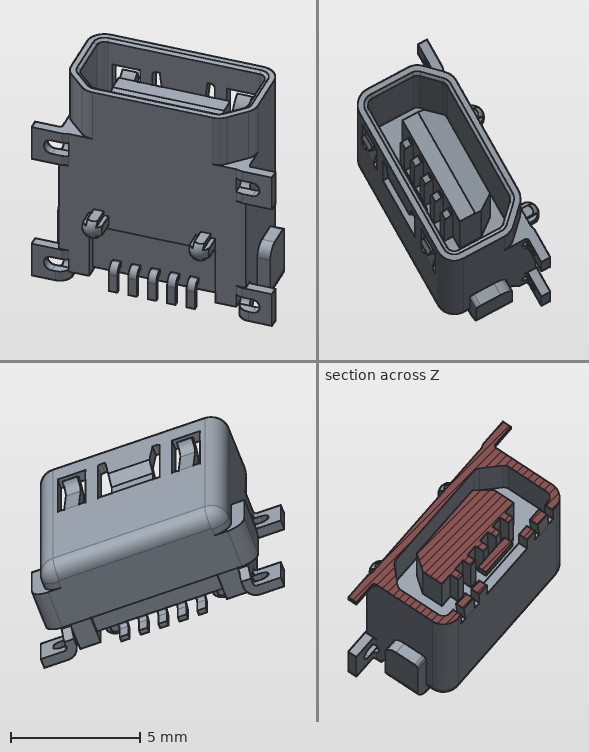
import cadquery as cq
import math

SHEET = 0.4
CLEARANCE = 1.0

SHELL_HALF_W = 3.85
SHELL_DEPTH = 3.9
SHELL_TOP = 9.2
SHELL_CORNER_R = 0.72
SHELL_BOTTOM_R = 0.68
MOUTH_BEVEL = 1.07
MOUTH_BASE = 7.0
LEAD_IN = 0.15
LEAD_IN_DEPTH = 0.09

FLOOR_Z = 4.0
TONGUE_HALF_W = 2.3
TONGUE_FRONT = 0.86
TONGUE_BACK = 2.48
TONGUE_TOP = 8.3
TONGUE_TIP_LENGTH = 0.94
TONGUE_TIP_DROP = 0.47
TONGUE_SIDE_BEVEL_W = 0.52
TONGUE_SIDE_BEVEL_D = 0.68

CONTACT_COUNT = 5
CONTACT_PITCH = 0.8
BLADE_W = 0.31
BLADE_BACK = 2.87
BLADE_TOP = 7.5
BLADE_LEDGE = 0.07
BLADE_SLOPE_DROP = 0.15
BLADE_NOSE_R = 0.05
LEAD_W = 0.35
LEAD_THICK = 0.2
LEAD_TOP = 1.21
LEAD_BOTTOM = 0.03
LEAD_BEND_R = 0.38

RECESS_HALF_W = 2.6
RECESS_TOP = 2.92
RECESS_DEPTH = 0.4
UNDERSIDE_DEPTH = 1.3
UNDERSIDE_CENTRE_Z = 0.68
UNDERSIDE_OUTER_Z = 0.5
SIDE_WALL_BOTTOM = 0.6
FOOT_BACK_LOW = 0.7
FOOT_BACK_HIGH = 1.01

TAB_HALF_SPAN = 4.95
TAB_FRONT = -0.06
TAB_H = 1.5
TAB_BASES = (0.0, MOUTH_BASE - TAB_H)
TAB_BEND_R = 0.12
TAB_SLOT_W = 0.62
TAB_SLOT_END = 4.44
TAB_SLOT_WALL_Y = 0.59
TAB_STEP_START = 3.46
TAB_STEP_END = 3.7

FLAP_HALF_W = 4.38
FLAP_BACK = 2.89
FLAP_TOP = 2.6
FLAP_FRONT_R = 0.52
FLAP_BACK_R = 0.18

PEG_X = 2.2
PEG_Z = 3.3
PEG_SPAN = 0.8
PEG_BAR = 0.42
PEG_TIP = -1.0
PEG_DOME_R = 0.47

LATCH_X = 2.36
LATCH_W = 0.61
LATCH_WINDOW_W = 1.15
LATCH_WINDOW_BASE = 5.0
LATCH_WINDOW_TOP = 8.1
LATCH_FACE = 3.31
LATCH_BEND_START = 6.72
LATCH_BEND_R = 1.005
LATCH_BEND_ANGLE = math.radians(68)
FINGER_ROOT_HALF_W = 0.98
FINGER_HALF_W = 0.85
FINGER_WINDOW_HALF_W = 1.28
FINGER_WINDOW_BASE = 5.0
FINGER_WINDOW_TOP = 8.17
FINGER_WINDOW_CORNER_R = 0.15
FINGER_BEND_Z = 7.0
FINGER_FACE = 3.12
FINGER_FACE_TOP = 6.5
FINGER_END = 5.4

INNER_HALF_W = SHELL_HALF_W - SHEET
INNER_BACK = SHELL_DEPTH - SHEET
TAB_BACK = TAB_FRONT + SHEET
TAB_BEND_X = SHELL_HALF_W + TAB_BEND_R
TAB_BEND_Y = TAB_BACK + TAB_BEND_R


def block(x0, x1, y0, y1, z0, z1):
    """Box between two opposite corners."""
    return cq.Workplane("XY").box(x1 - x0, y1 - y0, z1 - z0, centered=False).translate((x0, y0, z0))


def mirrored(shape):
    """The shape together with its mirror image across the YZ plane."""
    return shape.union(shape.mirror("YZ"))


def yz_prism(points, x_centre, width):
    """Straight-sided YZ outline extruded along X, centred on x_centre."""
    prism = cq.Workplane("YZ").polyline(points).close().extrude(width / 2, both=True)
    return prism.translate((x_centre, 0, 0))


def mouth_prism(z0, z1):
    """Upright prism on the mouth outline: bevelled front corners, all corners rounded."""
    half = SHELL_HALF_W
    return (
        cq.Workplane("XY", origin=(0, 0, z0))
        .polyline(
            [
                (-half + MOUTH_BEVEL, 0),
                (half - MOUTH_BEVEL, 0),
                (half, MOUTH_BEVEL),
                (half, SHELL_DEPTH),
                (-half, SHELL_DEPTH),
                (-half, MOUTH_BEVEL),
            ]
        )
        .close()
        .extrude(z1 - z0)
        .edges("|Z")
        .fillet(SHELL_CORNER_R)
    )


def inner_wire(inset, z):
    """Mouth outline moved inwards by inset, at height z."""
    outline = mouth_prism(z, z + CLEARANCE).faces("<Z").wires().val()
    return outline.offset2D(-inset)[0]


def make_shell():
    """Shell outside filled solid, then hollowed from the mouth down to the insulator floor."""
    lower = block(-SHELL_HALF_W, SHELL_HALF_W, 0, SHELL_DEPTH, 0, MOUTH_BASE)
    lower = lower.edges("|Z and >Y").fillet(SHELL_CORNER_R)
    lower = lower.faces("<Z").edges("not <Y").fillet(SHELL_BOTTOM_R)
    lower = lower.union(block(-SHELL_HALF_W, SHELL_HALF_W, 0, UNDERSIDE_DEPTH, 0, MOUTH_BASE))
    shell = lower.union(mouth_prism(MOUTH_BASE, SHELL_TOP))
    cavity_height = cq.Vector(0, 0, SHELL_TOP - FLOOR_Z)
    cavity = cq.Solid.extrudeLinear(inner_wire(SHEET, FLOOR_Z), [], cavity_height)
    shell = shell.cut(cq.Workplane(obj=cavity))
    throat = inner_wire(SHEET, SHELL_TOP - LEAD_IN_DEPTH)
    rim = inner_wire(SHEET - LEAD_IN, SHELL_TOP)
    return shell.cut(cq.Workplane(obj=cq.Solid.makeLoft([throat, rim], True)))


def make_flaps():
    """Plate under the shell whose two ends turn up as flaps against the side walls."""
    flap = block(-FLAP_HALF_W, FLAP_HALF_W, UNDERSIDE_DEPTH, FLAP_BACK, 0, FLAP_TOP)
    flap = flap.edges("|X and >Z and <Y").fillet(FLAP_FRONT_R)
    flap = flap.edges("|X and >Z and >Y").fillet(FLAP_BACK_R)
    return flap.edges("|Y and <Z").fillet(SHELL_BOTTOM_R)


def underside_cut():
    """Open space in front of the bottom plate, stepped in three heights."""

    def strip(x0, x1, top):
        return block(x0, x1, -CLEARANCE, UNDERSIDE_DEPTH, -CLEARANCE, top)

    outer = strip(-INNER_HALF_W, INNER_HALF_W, UNDERSIDE_OUTER_Z)
    centre = strip(-RECESS_HALF_W, RECESS_HALF_W, UNDERSIDE_CENTRE_Z)
    side = strip(INNER_HALF_W, SHELL_HALF_W + CLEARANCE, SIDE_WALL_BOTTOM)
    return outer.union(centre).union(mirrored(side))


def make_tab(base):
    """Side wall strip bent outwards into a slotted solder tab, on the +X side."""
    cos45 = math.cos(math.pi / 4)
    inner_r = TAB_BEND_R + SHEET
    return (
        cq.Workplane("XY", origin=(0, 0, base))
        .moveTo(INNER_HALF_W, TAB_BEND_Y)
        .threePointArc(
            (TAB_BEND_X - inner_r * cos45, TAB_BEND_Y - inner_r * cos45),
            (TAB_BEND_X, TAB_FRONT),
        )
        .lineTo(TAB_HALF_SPAN, TAB_FRONT)
        .lineTo(TAB_HALF_SPAN, TAB_BACK)
        .lineTo(TAB_BEND_X, TAB_BACK)
        .threePointArc(
            (TAB_BEND_X - TAB_BEND_R * cos45, TAB_BEND_Y - TAB_BEND_R * cos45),
            (SHELL_HALF_W, TAB_BEND_Y),
        )
        .lineTo(SHELL_HALF_W, FOOT_BACK_LOW)
        .lineTo(INNER_HALF_W, FOOT_BACK_LOW)
        .close()
        .extrude(TAB_H)
    )


def make_tab_step(base):
    """Filling of the tab's bend, sloping from the front face out to the tab, on the +X side."""
    bottom = base + (TAB_H - TAB_SLOT_W) / 2 if base < UNDERSIDE_OUTER_Z else base
    points = [
        (TAB_STEP_START, 0),
        (TAB_STEP_END, TAB_FRONT),
        (TAB_BEND_X, TAB_FRONT),
        (TAB_BEND_X, TAB_BACK),
        (TAB_STEP_START, TAB_BACK),
    ]
    step = cq.Workplane("XY", origin=(0, 0, bottom)).polyline(points).close()
    return step.extrude(base + TAB_H - bottom)


def make_foot():
    """Sloped strip joining the lower tab to the raised edge of the side wall."""
    points = [
        (SHEET, 0),
        (FOOT_BACK_LOW, 0),
        (FOOT_BACK_HIGH, SIDE_WALL_BOTTOM),
        (SHEET, SIDE_WALL_BOTTOM),
    ]
    return yz_prism(points, (SHELL_HALF_W + INNER_HALF_W) / 2, SHEET)


def tab_slot(base):
    """Round-ended slot running through the tab and around its bend into the side wall."""
    radius = TAB_SLOT_W / 2
    centre_z = base + TAB_H / 2
    end_x = TAB_SLOT_END - radius
    straight = block(INNER_HALF_W, end_x, -CLEARANCE, TAB_BACK, centre_z - radius, centre_z + radius)
    tab_end = cq.Workplane("XZ", origin=(end_x, TAB_BACK, centre_z)).circle(radius)
    tab_end = tab_end.extrude(TAB_BACK + CLEARANCE)
    wall_end_y = TAB_SLOT_WALL_Y - radius
    wall_end = cq.Workplane("YZ", origin=(INNER_HALF_W, wall_end_y, centre_z)).circle(radius)
    return straight.union(tab_end).union(wall_end.extrude(end_x - INNER_HALF_W))


def make_tongue():
    """Contact tongue with bevelled front corners and a sloping tip."""
    narrow = TONGUE_HALF_W - TONGUE_SIDE_BEVEL_W
    side_y = TONGUE_FRONT + TONGUE_SIDE_BEVEL_D
    tongue = (
        cq.Workplane("XY", origin=(0, 0, FLOOR_Z - SHEET))
        .polyline(
            [
                (-narrow, TONGUE_FRONT),
                (narrow, TONGUE_FRONT),
                (TONGUE_HALF_W, side_y),
                (TONGUE_HALF_W, TONGUE_BACK),
                (-TONGUE_HALF_W, TONGUE_BACK),
                (-TONGUE_HALF_W, side_y),
            ]
        )
        .close()
        .extrude(TONGUE_TOP - FLOOR_Z + SHEET)
    )
    tip = [
        (TONGUE_FRONT, TONGUE_TOP),
        (TONGUE_FRONT + TONGUE_TIP_LENGTH, TONGUE_TOP),
        (TONGUE_FRONT, TONGUE_TOP - TONGUE_TIP_DROP),
    ]
    return tongue.cut(yz_prism(tip, 0, 2 * TONGUE_HALF_W))


def make_contact(x):
    """One contact: a blade along the back of the tongue and a lead bent down at the front."""
    blade_root = FLOOR_Z - SHEET
    slope_end = BLADE_TOP - BLADE_SLOPE_DROP
    blade = (
        cq.Workplane("YZ", origin=(x - BLADE_W / 2, 0, 0))
        .moveTo(TONGUE_BACK, blade_root)
        .lineTo(TONGUE_BACK, BLADE_TOP)
        .lineTo(TONGUE_BACK + BLADE_LEDGE, BLADE_TOP)
        .lineTo(BLADE_BACK - BLADE_NOSE_R, slope_end)
        .radiusArc((BLADE_BACK, slope_end - BLADE_NOSE_R), BLADE_NOSE_R)
        .lineTo(BLADE_BACK, blade_root)
        .close()
        .extrude(BLADE_W)
    )
    left = x - LEAD_W / 2
    right = x + LEAD_W / 2
    lead = block(left, right, TAB_FRONT, RECESS_DEPTH + SHEET, LEAD_BOTTOM, LEAD_TOP)
    lead = lead.edges("|X and <Y and >Z").fillet(LEAD_BEND_R)
    inside = block(left, right, TAB_FRONT + LEAD_THICK, CLEARANCE, LEAD_BOTTOM, LEAD_TOP - LEAD_THICK)
    inside = inside.edges("|X and <Y and >Z").fillet(LEAD_BEND_R - LEAD_THICK)
    return blade.union(lead.cut(inside))


def make_peg():
    """Cross-shaped locating peg with a domed tip, on the +X side."""
    length = RECESS_DEPTH - PEG_TIP
    root = cq.Workplane("XZ", origin=(0, RECESS_DEPTH, 0))
    cross = root.rect(PEG_SPAN, PEG_BAR).extrude(length)
    cross = cross.union(root.rect(PEG_BAR, PEG_SPAN).extrude(length))
    dome_y = PEG_TIP + PEG_DOME_R
    dome = root.circle(PEG_DOME_R).extrude(RECESS_DEPTH - dome_y)
    dome = dome.union(cq.Workplane("XY").sphere(PEG_DOME_R).translate((0, dome_y, 0)))
    return cross.intersect(dome).translate((PEG_X, 0, PEG_Z))


def make_latch():
    """Latch finger rising from the window sill, then curling out through the window, on the +X side."""
    bend_y = LATCH_FACE + LATCH_BEND_R
    outer_r = LATCH_BEND_R - SHEET

    def on_bend(radius, angle):
        return (bend_y - radius * math.cos(angle), LATCH_BEND_START + radius * math.sin(angle))

    sill = LATCH_WINDOW_BASE
    return (
        cq.Workplane("YZ", origin=(LATCH_X - LATCH_W / 2, 0, 0))
        .moveTo(INNER_BACK, sill)
        .lineTo(LATCH_FACE, LATCH_BEND_START)
        .threePointArc(
            on_bend(LATCH_BEND_R, LATCH_BEND_ANGLE / 2),
            on_bend(LATCH_BEND_R, LATCH_BEND_ANGLE),
        )
        .lineTo(*on_bend(outer_r, LATCH_BEND_ANGLE))
        .threePointArc(
            on_bend(outer_r, LATCH_BEND_ANGLE / 2),
            on_bend(outer_r, 0),
        )
        .lineTo(SHELL_DEPTH, sill)
        .close()
        .extrude(LATCH_W)
    )


def make_centre_finger():
    """Spring finger hanging from the top of the middle window and leaning into the mouth."""
    points = [
        (SHELL_DEPTH, FINGER_WINDOW_TOP),
        (INNER_BACK, FINGER_WINDOW_TOP),
        (INNER_BACK, FINGER_BEND_Z),
        (FINGER_FACE, FINGER_FACE_TOP),
        (FINGER_FACE, FINGER_END),
        (FINGER_FACE + SHEET, FINGER_END),
        (FINGER_FACE + SHEET, FINGER_FACE_TOP),
        (SHELL_DEPTH, FINGER_BEND_Z),
    ]
    taper = (
        cq.Workplane("XZ", origin=(0, SHELL_DEPTH, 0))
        .polyline(
            [
                (-FINGER_ROOT_HALF_W, FINGER_WINDOW_TOP),
                (FINGER_ROOT_HALF_W, FINGER_WINDOW_TOP),
                (FINGER_HALF_W, FINGER_BEND_Z),
                (FINGER_HALF_W, FINGER_END),
                (-FINGER_HALF_W, FINGER_END),
                (-FINGER_HALF_W, FINGER_BEND_Z),
            ]
        )
        .close()
        .extrude(SHELL_DEPTH)
    )
    return yz_prism(points, 0, 2 * FINGER_ROOT_HALF_W).intersect(taper)


def window(x, width, base, top):
    """Rectangular opening through the back wall."""
    return block(x - width / 2, x + width / 2, INNER_BACK, SHELL_DEPTH, base, top)


part = make_shell()
finger_window = window(0, 2 * FINGER_WINDOW_HALF_W, FINGER_WINDOW_BASE, FINGER_WINDOW_TOP)
part = part.cut(finger_window.edges("|Y and >Z").fillet(FINGER_WINDOW_CORNER_R))
part = part.cut(mirrored(window(LATCH_X, LATCH_WINDOW_W, LATCH_WINDOW_BASE, LATCH_WINDOW_TOP)))
part = part.union(make_centre_finger())
part = part.union(mirrored(make_latch()))

part = part.union(make_flaps())
part = part.cut(underside_cut())
part = part.cut(block(-RECESS_HALF_W, RECESS_HALF_W, 0, RECESS_DEPTH, 0, RECESS_TOP))

part = part.union(mirrored(make_foot()))
for tab_base in TAB_BASES:
    part = part.union(mirrored(make_tab(tab_base)))
    part = part.union(mirrored(make_tab_step(tab_base)))
    part = part.cut(mirrored(tab_slot(tab_base)))

part = part.union(make_tongue())
for index in range(CONTACT_COUNT):
    part = part.union(make_contact((index - (CONTACT_COUNT - 1) / 2) * CONTACT_PITCH))
result = part.union(mirrored(make_peg()))